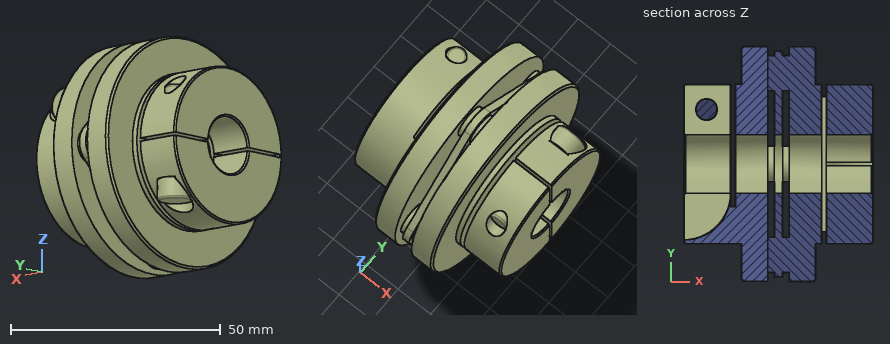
import cadquery as cq
import math


coupling_length = 45.0
flange_diameter = 56.0
hub_diameter = 38.0
bore_diameter = 13.9
flange_gap = 5.05
flange_thickness = 6.3
flange_chamfer = 0.5
barrel_chamfer = 0.4

cross_slot_width = 1.2
cross_slot_offset = 1.4
cross_slot_reach = 10.1
slit_width = 0.8

screw_offset = 13.0
screw_from_end = 5.4
shank_diameter = 5.1
head_diameter = 8.5
head_length = 5.1
head_seat = 9.65
shank_tip = 13.15
screw_rounding = 0.5

disc_thickness = 2.0
spacer_count = 4
spacer_diameter = 8.5
spacer_circle_radius = 21.6
disc_corner_radius = 5.3

half_length = coupling_length / 2
half_gap = flange_gap / 2
hub_radius = hub_diameter / 2
bore_radius = bore_diameter / 2
flange_outer_x = half_gap + flange_thickness
slot_inner_x = flange_outer_x + cross_slot_offset
slot_outer_x = slot_inner_x + cross_slot_width
screw_x = half_length - screw_from_end
clamp_length = half_length - slot_outer_x


def x_cylinder(diameter, start, end):
    """A cylinder on the X axis between two X positions."""
    return cq.Workplane("YZ", origin=(start, 0, 0)).circle(diameter / 2).extrude(end - start)


def screw_cylinder(diameter, start, end):
    """A cylinder on the left clamp screw's axis between two Z positions."""
    base = cq.Workplane("XY", origin=(-screw_x, screw_offset, start))
    return base.circle(diameter / 2).extrude(end - start)


def cross_slot():
    """The slot across the left hub, open towards +Y."""
    corner = (-slot_outer_x, -cross_slot_reach, -hub_radius)
    return cq.Workplane("XY").box(
        cross_slot_width, cross_slot_reach + hub_radius, hub_diameter, centered=False
    ).translate(corner)


def open_slit():
    """The slit from the bore to the outside of the left hub, as deep as the cross slot."""
    return cq.Workplane("XY").box(
        half_length - slot_inner_x, hub_radius, slit_width, centered=(False, False, True)
    ).translate((-half_length, 0, 0))


def hinge_slit():
    """The slit on the other side of the bore, a quarter of a saw blade centred on the end face."""
    diagonal = clamp_length * math.sqrt(0.5)
    return (
        cq.Workplane("XY")
        .moveTo(-half_length, 0)
        .lineTo(-slot_outer_x, 0)
        .lineTo(-slot_outer_x, -bore_radius)
        .threePointArc(
            (-half_length + diagonal, -bore_radius - diagonal),
            (-half_length, -bore_radius - clamp_length),
        )
        .close()
        .extrude(slit_width / 2, both=True)
    )


def make_hub():
    """The left hub, with its clamp opening towards +Y."""
    flange = x_cylinder(flange_diameter, -flange_outer_x, -half_gap).faces("<X").chamfer(flange_chamfer)
    barrel = x_cylinder(hub_diameter, -half_length, -half_gap).faces("<X").chamfer(barrel_chamfer)
    bore = x_cylinder(bore_diameter, -half_length, -half_gap)
    bore_mouth = cq.Workplane("YZ", origin=(-half_length, 0, 0)).circle(bore_radius + barrel_chamfer)
    bore_mouth = bore_mouth.extrude(barrel_chamfer, taper=45)
    hub = flange.union(barrel).cut(bore).cut(bore_mouth)
    hub = hub.cut(cross_slot()).cut(open_slit()).cut(hinge_slit())
    hub = hub.cut(screw_cylinder(shank_diameter, -head_seat, hub_radius))
    return hub.cut(screw_cylinder(head_diameter, -hub_radius, -head_seat))


def make_screw():
    """The left hub's clamp screw, with its head towards -Z."""
    head = screw_cylinder(head_diameter, -head_seat - head_length, -head_seat)
    shank = screw_cylinder(shank_diameter, -head_seat, shank_tip)
    head = head.faces("<Z").fillet(screw_rounding)
    return head.union(shank.faces(">Z").fillet(screw_rounding))


def make_disc_pack():
    """A square disc standing on its corner, with spacers through its corners to both flanges."""
    half_disc = disc_thickness / 2
    side = spacer_circle_radius * math.sqrt(2) + 2 * disc_corner_radius
    disc = cq.Workplane("YZ").rect(side, side).extrude(half_disc, both=True)
    disc = disc.edges("|X").fillet(disc_corner_radius).rotate((0, 0, 0), (1, 0, 0), 45)
    spacers = (
        cq.Workplane("YZ")
        .polarArray(spacer_circle_radius, 0, 360, spacer_count)
        .circle(spacer_diameter / 2)
        .extrude(half_gap, both=True)
    )
    return disc.union(spacers).cut(x_cylinder(bore_diameter, -half_disc, half_disc))


def on_right(body):
    """The right-hand counterpart of a left body: mirrored, then turned to open towards +Z."""
    return body.mirror("YZ").rotate((0, 0, 0), (1, 0, 0), 90)


left_hub = make_hub()
right_hub = on_right(left_hub).union(make_disc_pack())
left_screw = make_screw()
screws = [left_screw, on_right(left_screw)]

result = cq.Compound.makeCompound([left_hub.val(), right_hub.val(), *[screw.val() for screw in screws]])